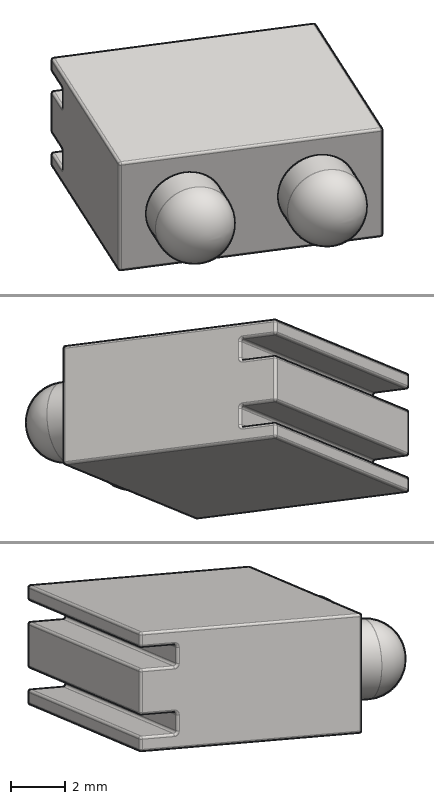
import cadquery as cq

housing_length = 9.0
housing_width = 10.16
housing_height = 4.5
edge_radius = 0.1

slot_depth = 1.49
slot_height = 0.8
slot_spacing = 2.54

overall_length = 11.75
led_radius = 1.5
led_spacing = 5.08
led_barrel_length = overall_length - housing_length - led_radius


def make_slot(center_z):
    """Full-width slot with rounded inner corners, open at the back face."""
    slot = cq.Workplane("XY").box(
        slot_depth, housing_width, slot_height, centered=(False, True, True)
    )
    return slot.edges("|Y and >X").fillet(edge_radius).translate((0, 0, center_z))


def make_housing():
    """Slotted block, with its back face at X = 0 and all outer edges rounded."""
    block = cq.Workplane("XY").box(
        housing_length, housing_width, housing_height, centered=(False, True, True)
    )
    for side in (-1, 1):
        block = block.cut(make_slot(side * slot_spacing / 2))
    outer_faces = block.faces("<X or >X or <Y or >Y or <Z or >Z")
    return outer_faces.edges().fillet(edge_radius)


def make_led(center_y):
    """Cylindrical barrel with a hemispherical tip, revolved about its X axis."""
    dome_start = housing_length + led_barrel_length
    dome_offset = led_radius * 0.5**0.5
    return (
        cq.Workplane("XY")
        .moveTo(housing_length, 0)
        .lineTo(housing_length, led_radius)
        .lineTo(dome_start, led_radius)
        .threePointArc((dome_start + dome_offset, dome_offset), (overall_length, 0))
        .close()
        .revolve(360, (0, 0, 0), (1, 0, 0))
        .translate((0, center_y, 0))
    )


result = make_housing()
for side in (-1, 1):
    result = result.union(make_led(side * led_spacing / 2))